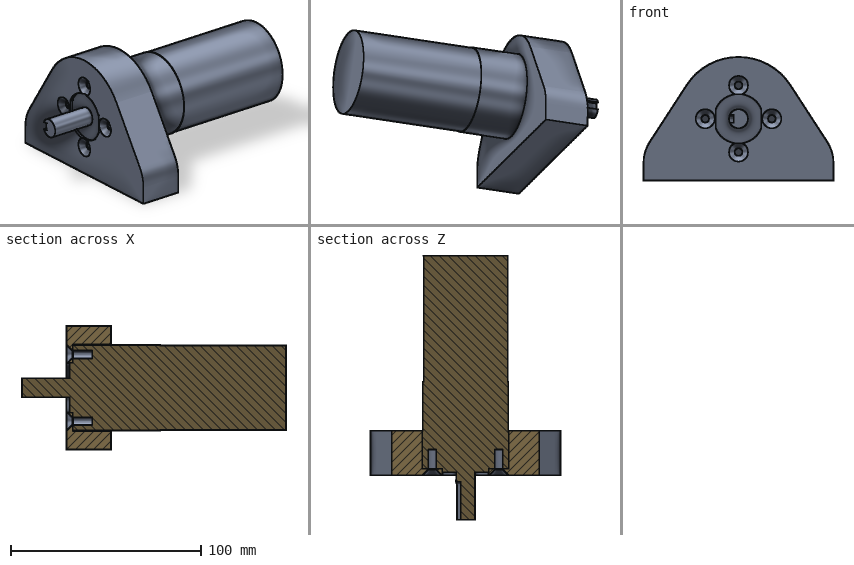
import cadquery as cq
import math


overall_length = 139

bracket_width = 100.0
bracket_depth = 23.5
crown_radius = 32.5
base_drop = crown_radius
shoulder_radius = 20.0
flank_tilt = math.radians(33)

web_thickness = 3.5
pocket_diameter = 45.3

boss_diameter = 26.0
boss_width = 24.0
boss_recess = 1.5

screw_count = 4
screw_circle_radius = 17.5
countersink_diameter = 10.0
countersink_angle = 90
screw_hole_diameter = 4.0
screw_hole_depth = 10.0

gear_head_diameter = 45.0
gear_head_projection = 25.7
can_diameter = 44.5
can_length = 66.3

shaft_diameter = 10.0
shaft_length = overall_length - bracket_depth - gear_head_projection - can_length
keyway_width = 4.0
keyway_depth = 2.5
keyway_length = 20.0


def cylinder_along_y(diameter, start, end):
    """Cylinder on the shaft axis, from Y = start to Y = end."""
    return cq.Workplane("XZ", origin=(0, start, 0)).circle(diameter / 2).extrude(start - end)


def flatted_boss(start, end):
    """Cylinder with two flats facing +X and -X, from Y = start to Y = end."""
    half_width = boss_width / 2
    flat_half_height = math.sqrt((boss_diameter / 2) ** 2 - half_width**2)
    return (
        cq.Workplane("XZ", origin=(0, start, 0))
        .moveTo(-half_width, -flat_half_height)
        .lineTo(-half_width, flat_half_height)
        .threePointArc((0, boss_diameter / 2), (half_width, flat_half_height))
        .lineTo(half_width, -flat_half_height)
        .threePointArc((0, -boss_diameter / 2), (-half_width, -flat_half_height))
        .close()
        .extrude(start - end)
    )


def make_bracket_blank():
    """Plate with a round crown, sloping flanks tangent to it and rounded shoulders."""
    half_width = bracket_width / 2
    crown_end_x = crown_radius * math.cos(flank_tilt)
    crown_end_z = crown_radius * math.sin(flank_tilt)
    shoulder_z = (crown_radius - half_width * math.cos(flank_tilt)) / math.sin(flank_tilt)
    blank = (
        cq.Workplane("XZ")
        .moveTo(-half_width, -base_drop)
        .lineTo(-half_width, shoulder_z)
        .lineTo(-crown_end_x, crown_end_z)
        .threePointArc((0, crown_radius), (crown_end_x, crown_end_z))
        .lineTo(half_width, shoulder_z)
        .lineTo(half_width, -base_drop)
        .close()
        .extrude(-bracket_depth)
    )
    return blank.faces("<X or >X").edges("|Y").edges(">Z").fillet(shoulder_radius)


def make_bracket():
    """Bracket with the boss hole, the gear head pocket and the countersunk holes."""
    pocket = cylinder_along_y(pocket_diameter, web_thickness, bracket_depth)
    bracket = make_bracket_blank().cut(flatted_boss(0, web_thickness)).cut(pocket)
    return (
        bracket.faces("<Y")
        .workplane(origin=(0, 0, 0))
        .polarArray(screw_circle_radius, 0, 360, screw_count)
        .cskHole(screw_hole_diameter, countersink_diameter, countersink_angle, depth=web_thickness)
    )


def make_screw_holes():
    """Blind holes in the front face of the gear head, in line with the bracket holes."""
    return (
        cq.Workplane("XZ", origin=(0, web_thickness, 0))
        .polarArray(screw_circle_radius, 0, 360, screw_count)
        .circle(screw_hole_diameter / 2)
        .extrude(-screw_hole_depth)
    )


def make_keyway():
    """Slot in the -X side of the shaft, open at the tip and round at its inner end."""
    floor_x = -shaft_diameter / 2 + keyway_depth
    round_center_y = -shaft_length + keyway_length - keyway_width / 2
    straight = (
        cq.Workplane("XY", origin=(floor_x - keyway_depth, -shaft_length, 0))
        .box(keyway_depth, round_center_y + shaft_length, keyway_width, centered=(False, False, True))
    )
    round_end = (
        cq.Workplane("YZ", origin=(floor_x, round_center_y, 0))
        .circle(keyway_width / 2)
        .extrude(-keyway_depth)
    )
    return straight.union(round_end)


def make_gear_motor():
    """Motor can, gear head, pilot boss and keyed shaft as one solid."""
    gear_head_end = bracket_depth + gear_head_projection
    gear_head = cylinder_along_y(gear_head_diameter, web_thickness, gear_head_end)
    can = cylinder_along_y(can_diameter, gear_head_end, gear_head_end + can_length)
    boss = flatted_boss(boss_recess, web_thickness)
    shaft = cylinder_along_y(shaft_diameter, -shaft_length, web_thickness)
    gear_motor = gear_head.union(can).union(boss).union(shaft)
    return gear_motor.cut(make_screw_holes()).cut(make_keyway())


bracket = make_bracket()
gear_motor = make_gear_motor()

result = cq.Compound.makeCompound([bracket.solids().val(), gear_motor.solids().val()])